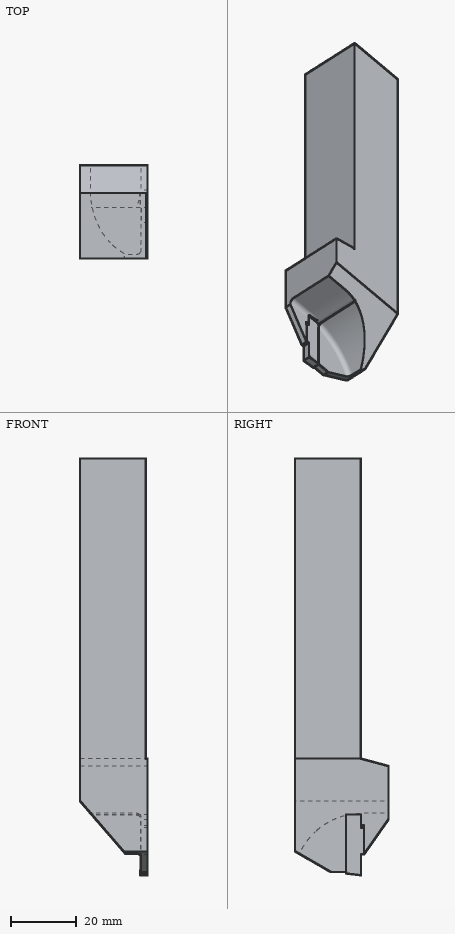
import cadquery as cq
import math

total_height = 126.65
shank_width = 20.0
head_width = 20.52
head_depth = 28.4

shoulder_z = 35.5
shoulder_angle = 15.0
oblique_top_z = 22.6
oblique_angle = 40.8
underside_z = 7.3
bevel_angle = 30.0
blade_bottom_z = 1.0
jaw_top_z = 17.0
jaw_angle = 55.0

blade_x = 18.6
recess_roof_z = 18.9
recess_radius = 21.1
recess_center_y = 20.5
recess_fillet = 1.5

insert_left_x = 18.37
insert_bottom_y = 15.5
insert_height = 4.6
insert_clamped_height = 5.4
insert_top_z = 18.5
clamped_low_z = 6.4
clamped_high_z = 14.5
seat_gap = 0.7
insert_relief_angle = 7.0
flare_z = 2.2
flare = 0.2
tip_corner = 0.2

cut_margin = 5.0

insert_tip_y = insert_bottom_y + insert_height
insert_clamped_y = insert_bottom_y + insert_clamped_height


def extrude_along_x(points, x_start, x_end):
    """Solid between two X positions with an outline of (Y, Z) points."""
    return cq.Workplane("YZ", origin=(x_start, 0, 0)).polyline(points).close().extrude(x_end - x_start)


def extrude_along_y(points, y_start, y_end):
    """Solid between two Y positions with an outline of (X, Z) points."""
    return cq.Workplane("XZ", origin=(0, y_end, 0)).polyline(points).close().extrude(y_end - y_start)


def make_recess():
    """Space on the clearance side of the blade, with a rounded inner edge."""
    roof_arc_center_z = recess_roof_z - recess_radius
    far_y = head_depth + cut_margin
    diagonal = recess_radius * math.sqrt(0.5)
    recess = (
        cq.Workplane("YZ", origin=(-cut_margin, 0, 0))
        .moveTo(recess_center_y - recess_radius, roof_arc_center_z)
        .threePointArc(
            (recess_center_y - diagonal, roof_arc_center_z + diagonal),
            (recess_center_y, recess_roof_z),
        )
        .lineTo(far_y, recess_roof_z)
        .lineTo(far_y, roof_arc_center_z)
        .close()
        .extrude(blade_x + cut_margin)
    )
    return recess.faces(">X").edges().fillet(recess_fillet)


def make_seat():
    """Stepped slot through the blade that receives the insert."""
    step_z = clamped_high_z + seat_gap
    outline = [
        (insert_bottom_y, -cut_margin),
        (insert_bottom_y, insert_top_z),
        (insert_tip_y, insert_top_z),
        (insert_tip_y, step_z),
        (insert_clamped_y, step_z),
        (insert_clamped_y, -cut_margin),
    ]
    return extrude_along_x(outline, -cut_margin, head_width + cut_margin)


def make_holder():
    """Square shank and wider head with an oblique side, a thin blade and the insert seat."""
    shoulder_drop = (head_depth - shank_width) * math.tan(math.radians(shoulder_angle))
    bevel_end_y = (underside_z - blade_bottom_z) / math.tan(math.radians(bevel_angle))
    jaw_end_y = head_depth - (jaw_top_z - blade_bottom_z) / math.tan(math.radians(jaw_angle))
    head_outline = [
        (0, shoulder_z),
        (shank_width, shoulder_z),
        (head_depth, shoulder_z - shoulder_drop),
        (head_depth, jaw_top_z),
        (jaw_end_y, blade_bottom_z),
        (bevel_end_y, blade_bottom_z),
        (0, underside_z),
    ]
    head = extrude_along_x(head_outline, 0, head_width)
    shank = cq.Workplane("XY", origin=(0, 0, shoulder_z)).rect(shank_width, shank_width, centered=False)
    shank = shank.extrude(total_height - shoulder_z)

    oblique_run = oblique_top_z * math.tan(math.radians(oblique_angle))
    oblique_corner = extrude_along_y(
        [(0, oblique_top_z), (oblique_run, 0), (0, 0)], -cut_margin, head_depth + cut_margin
    )
    return shank.union(head).cut(oblique_corner).cut(make_recess()).cut(make_seat())


def make_insert():
    """Cutting insert: its side outline trimmed by its width outline."""
    relief_rise = insert_height * math.tan(math.radians(insert_relief_angle))
    side_outline = [
        (insert_bottom_y, relief_rise),
        (insert_bottom_y, insert_top_z),
        (insert_tip_y, insert_top_z),
        (insert_tip_y, clamped_high_z),
        (insert_clamped_y, clamped_high_z),
        (insert_clamped_y, clamped_low_z),
        (insert_tip_y, clamped_low_z),
        (insert_tip_y, 0),
    ]
    width_outline = [
        (head_width, 0),
        (head_width, insert_top_z),
        (insert_left_x, insert_top_z),
        (insert_left_x, flare_z),
        (insert_left_x - flare, tip_corner),
        (insert_left_x - flare + tip_corner, 0),
    ]
    body = extrude_along_x(side_outline, insert_left_x - flare, head_width)
    return body.intersect(extrude_along_y(width_outline, insert_bottom_y, insert_clamped_y))


holder = make_holder()
insert = make_insert()

result = cq.Compound.makeCompound([holder.val(), insert.val()])